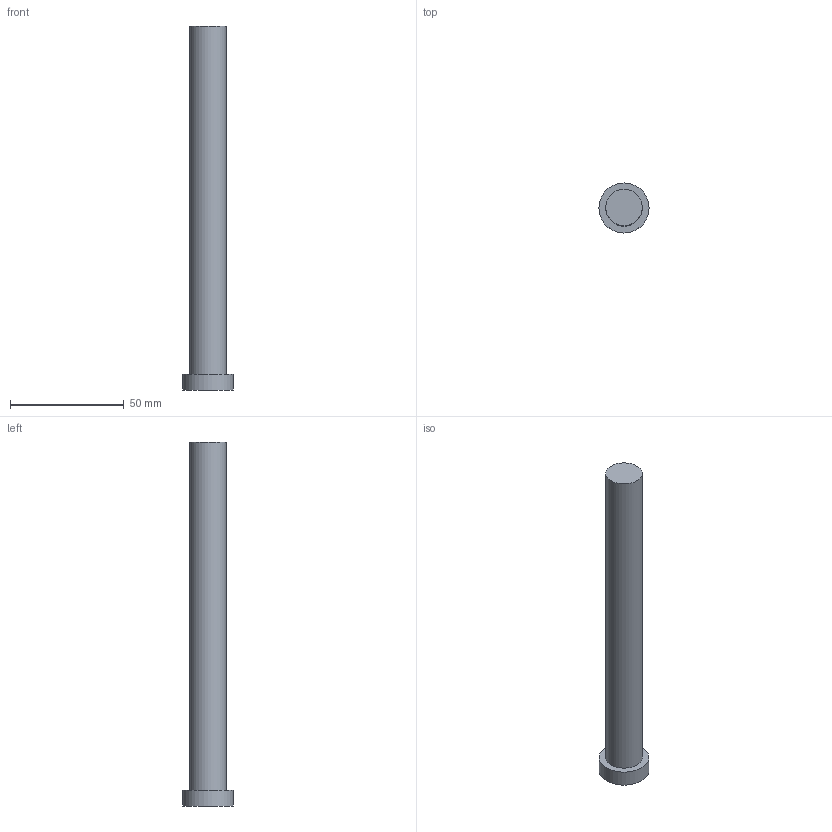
import cadquery as cq

total_length = 160.0
head_diameter = 22.0
head_height = 7.0
shank_diameter = 16.0
shank_length = total_length - head_height


def make_head():
    """Flat cylindrical head resting on the XY plane."""
    return cq.Workplane("XY").circle(head_diameter / 2).extrude(head_height)


def make_shank():
    """Plain round shank rising from the top of the head."""
    base = cq.Workplane("XY").workplane(offset=head_height)
    return base.circle(shank_diameter / 2).extrude(shank_length)


result = make_head().union(make_shank())